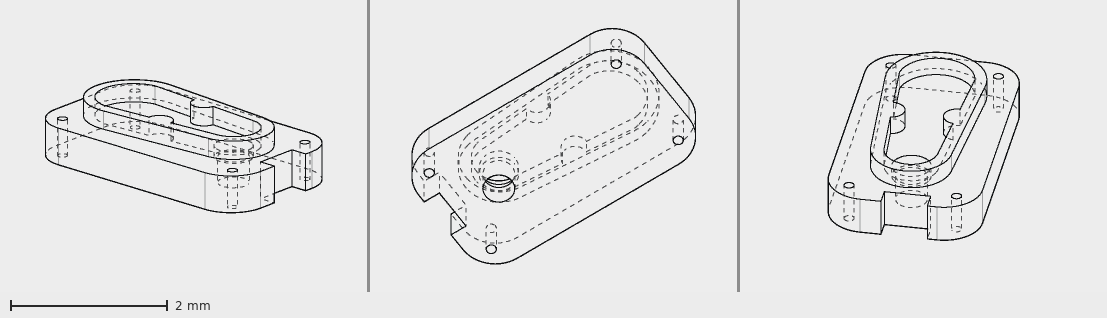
import cadquery as cq
import math

plate_length = 3.5
plate_width = 2.0
plate_height = 0.5
corner_radius = 0.5

screw_diameter = 0.13
screw_inset = 0.3

notch_depth = 0.235
notch_width = 0.602
notch_center_y = 0.075

rim_height = 0.25
rim_large_x = -0.845
rim_large_radius = 0.65
rim_small_x = 0.845
rim_small_radius = 0.525

pocket_depth = 0.25
pocket_wide_x = -0.928
pocket_wide_half_width = 0.49
pocket_wide_end_x = -1.35
pocket_narrow_x = 0.875
pocket_narrow_half_width = 0.35
pocket_narrow_end_x = 1.205

post_x = -0.03
post_y = 0.427
post_radius = 0.175

bore_x = 0.85
bore_diameter = 0.405
counterbore_diameter = 0.505
counterbore_depth = 0.15

total_height = plate_height + rim_height
floor_z = total_height - pocket_depth


def make_plate():
    plate = cq.Workplane("XY").box(
        plate_length, plate_width, plate_height, centered=(True, True, False)
    )
    return plate.edges("|Z").fillet(corner_radius)


def make_rim():
    lean = (rim_large_radius - rim_small_radius) / (rim_small_x - rim_large_x)
    rise = math.sqrt(1 - lean**2)
    large_x = rim_large_x + rim_large_radius * lean
    large_y = rim_large_radius * rise
    small_x = rim_small_x + rim_small_radius * lean
    small_y = rim_small_radius * rise
    return (
        cq.Workplane("XY", origin=(0, 0, plate_height))
        .moveTo(large_x, large_y)
        .threePointArc((rim_large_x - rim_large_radius, 0), (large_x, -large_y))
        .lineTo(small_x, -small_y)
        .threePointArc((rim_small_x + rim_small_radius, 0), (small_x, small_y))
        .close()
        .extrude(rim_height)
    )


def make_pocket():
    pocket = (
        cq.Workplane("XY", origin=(0, 0, floor_z))
        .moveTo(pocket_wide_x, pocket_wide_half_width)
        .threePointArc((pocket_wide_end_x, 0), (pocket_wide_x, -pocket_wide_half_width))
        .lineTo(pocket_narrow_x, -pocket_narrow_half_width)
        .threePointArc((pocket_narrow_end_x, 0), (pocket_narrow_x, pocket_narrow_half_width))
        .close()
        .extrude(pocket_depth)
    )
    posts = (
        cq.Workplane("XY", origin=(0, 0, floor_z))
        .pushPoints([(post_x, post_y), (post_x, -post_y)])
        .circle(post_radius)
        .extrude(pocket_depth)
    )
    return pocket.cut(posts)


def make_stepped_hole():
    bore = cq.Workplane("XY").center(bore_x, 0).circle(bore_diameter / 2).extrude(floor_z)
    counterbore = (
        cq.Workplane("XY", origin=(bore_x, 0, floor_z - counterbore_depth))
        .circle(counterbore_diameter / 2)
        .extrude(counterbore_depth)
    )
    return bore.union(counterbore)


def make_screw_holes():
    return (
        cq.Workplane("XY")
        .rect(plate_length - 2 * screw_inset, plate_width - 2 * screw_inset, forConstruction=True)
        .vertices()
        .circle(screw_diameter / 2)
        .extrude(plate_height)
    )


def make_notch():
    return (
        cq.Workplane("XY")
        .center((plate_length - notch_depth) / 2, notch_center_y)
        .rect(notch_depth, notch_width)
        .extrude(plate_height)
    )


result = (
    make_plate()
    .union(make_rim())
    .cut(make_pocket())
    .cut(make_stepped_hole())
    .cut(make_screw_holes())
    .cut(make_notch())
)